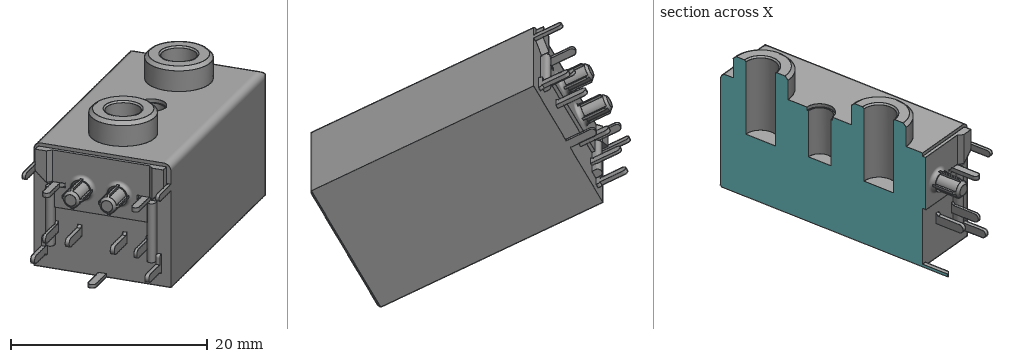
import cadquery as cq

SIDES = (1, -1)
EMBED = 0.3

WIDTH = 15.05
LENGTH = 25.78
HEIGHT = 13.7
WALL = 0.38
TOP_RADIUS = 0.8
BACK_CORNER_RADIUS = 0.38
BACK_FOOT_CHAMFER = 0.2

TOTAL_HEIGHT = 16.38
SOCKET_Y = (5.6, 20.62)
SOCKET_RADIUS = 3.5
SOCKET_CHAMFER = 0.38
BORE_RADIUS = 1.85
BORE_CHAMFER = 0.18
BORE_DEPTH = 8.85
SCREW_Y = (SOCKET_Y[0] + SOCKET_Y[1]) / 2
SCREW_RECESS_RADIUS = 1.6
SCREW_HOLE_RADIUS = 1.4
SCREW_HOLE_DEPTH = 5.9

INSERT_TOP = HEIGHT - WALL
PLATE_BOTTOM = 7.0
PLATE_DEPTH = 0.38
BLOCK_DEPTH = 0.85
BLOCK_INNER_X = 5.33
BLOCK_OUTER_X = 7.05
BLOCK_BOTTOM = 9.8
BLOCK_OUTER_BOTTOM = 10.93
BLOCK_BEVEL = BLOCK_DEPTH - PLATE_DEPTH

COLUMN_X = 5.57
COLUMN_RADIUS = 0.45
COLUMN_BOTTOM = 2.8
COLUMN_TOP = 9.35

STUD_X = 2.0
STUD_Z = 9.6
STUD_TIP = 3.68
STUD_CORE_RADIUS = 0.9
STUD_RIB_RADIUS = 1.15
STUD_RIB_WIDTH = 0.27
STUD_TIP_RADIUS = 0.62
COLLAR_RADIUS = 1.12
COLLAR_FLARE = 0.38
COLLAR_DEPTH = 0.95
COLLAR_DISH = 0.18

TAB_TIP = 3.18
TAB_HEIGHT = 0.75
TAB_Z = 11.1
GROUND_TAB_WIDTH = 0.88
PIN_TIP = 3.42
PIN_THICKNESS = 0.45
PIN_HEIGHT = 0.97
PIN_Z = 4.6
INNER_PIN_X = 2.47
OUTER_PIN_X = 5.0
OUTER_PIN_THICKNESS = 0.32
PIN_ROOT = 0.27
LOW_PIN_X = 6.27
LOW_PIN_HEIGHT = 0.88
LOW_PIN_Z = 2.1
LOW_PIN_ROOT_BOTTOM = 1.47
LOW_PIN_ROOT_TOP = 3.55
LOW_PIN_ROOT_DEPTH = 0.47
LOW_PIN_ROOT_RADIUS = 0.3
FLAT_PIN_X = 4.9
FLAT_PIN_WIDTH = 0.8
FLAT_PIN_ROOT = 0.47
SLOT_INNER_X = 3.95
SLOT_OUTER_X = 5.83


def box(x_range, y_range, z_range):
    """Box spanning the given (low, high) ranges."""
    (x0, x1), (y0, y1), (z0, z1) = x_range, y_range, z_range
    return cq.Workplane("XY").box(x1 - x0, y1 - y0, z1 - z0, centered=False).translate((x0, y0, z0))


def blade(center_x, center_z, thickness, height, tip):
    """Upright terminal with a fully rounded end, reaching forward to Y = -tip."""
    radius = height / 2
    return (
        cq.Workplane("YZ", origin=(center_x - thickness / 2, 0, center_z))
        .moveTo(EMBED, -radius)
        .lineTo(radius - tip, -radius)
        .threePointArc((-tip, 0), (radius - tip, radius))
        .lineTo(EMBED, radius)
        .close()
        .extrude(thickness)
    )


def flat_blade(center_x, center_z, thickness, width, tip):
    """Terminal lying flat: an upright blade turned about its own axis."""
    upright = blade(0, 0, thickness, width, tip)
    return upright.rotate((0, 0, 0), (0, 1, 0), 90).translate((center_x, 0, center_z))


def housing():
    """Box with rounded top edges and back corners, the rounds meeting in mitres."""
    blank = box((-WIDTH / 2, WIDTH / 2), (0, LENGTH), (0, HEIGHT))
    across = blank.edges("|Y and >Z").fillet(TOP_RADIUS)
    along = (
        blank.edges(">Y and >Z")
        .fillet(TOP_RADIUS)
        .edges(">Y and <Z")
        .chamfer(BACK_FOOT_CHAMFER)
    )
    plan = blank.edges("|Z and >Y").fillet(BACK_CORNER_RADIUS)
    return across.intersect(along).intersect(plan)


def socket(y):
    """Chamfered collar of a jack socket standing on the housing top."""
    return (
        cq.Workplane("XY", origin=(0, y, HEIGHT - EMBED))
        .circle(SOCKET_RADIUS)
        .extrude(TOTAL_HEIGHT - HEIGHT + EMBED)
        .faces(">Z")
        .chamfer(SOCKET_CHAMFER)
    )


def socket_bore(y):
    """Blind bore with a chamfered mouth."""
    mouth_radius = BORE_RADIUS + BORE_CHAMFER
    return (
        cq.Workplane("XZ", origin=(0, y, TOTAL_HEIGHT))
        .polyline(
            [
                (0, 0),
                (mouth_radius, 0),
                (BORE_RADIUS, -BORE_CHAMFER),
                (BORE_RADIUS, -BORE_DEPTH),
                (0, -BORE_DEPTH),
            ]
        )
        .close()
        .revolve(360, (0, 0), (0, 1))
    )


def screw_hole():
    """Blind hole below a wider opening through the housing wall."""
    top = cq.Workplane("XY", origin=(0, SCREW_Y, HEIGHT))
    recess = top.circle(SCREW_RECESS_RADIUS).extrude(-WALL)
    return recess.union(top.circle(SCREW_HOLE_RADIUS).extrude(-SCREW_HOLE_DEPTH))


def corner_block():
    """Insert block at the +X upper corner, bevelled towards the middle and cut off below."""
    outline = (
        cq.Workplane("XZ", origin=(0, EMBED, 0))
        .polyline(
            [
                (BLOCK_INNER_X, INSERT_TOP),
                (BLOCK_OUTER_X, INSERT_TOP),
                (BLOCK_OUTER_X, BLOCK_OUTER_BOTTOM),
                (BLOCK_INNER_X + BLOCK_BEVEL, BLOCK_BOTTOM),
                (BLOCK_INNER_X, BLOCK_BOTTOM),
            ]
        )
        .close()
        .extrude(BLOCK_DEPTH + EMBED)
    )
    return outline.edges("|Z and <X and <Y").chamfer(BLOCK_BEVEL)


def insert():
    """Raised plate between the two corner blocks."""
    plate = box((-COLUMN_X, COLUMN_X), (-PLATE_DEPTH, EMBED), (PLATE_BOTTOM, INSERT_TOP))
    block = corner_block()
    return plate.union(block).union(block.mirror("YZ"))


def pin_slot():
    """Slot through the insert plate, behind the flat pin at +X."""
    return box((SLOT_INNER_X, SLOT_OUTER_X), (-BLOCK_DEPTH, 0), (COLUMN_TOP, BLOCK_BOTTOM))


def column(x):
    """Upright rib with a half-round front."""
    return (
        cq.Workplane("XY", origin=(x, -COLUMN_RADIUS, COLUMN_BOTTOM))
        .moveTo(-COLUMN_RADIUS, COLUMN_RADIUS + EMBED)
        .lineTo(-COLUMN_RADIUS, 0)
        .threePointArc((0, -COLUMN_RADIUS), (COLUMN_RADIUS, 0))
        .lineTo(COLUMN_RADIUS, COLUMN_RADIUS + EMBED)
        .close()
        .extrude(COLUMN_TOP - COLUMN_BOTTOM)
    )


def stud(x):
    """Stud with a flared collar, four crush ribs and a tapered tip."""
    axis_plane = cq.Workplane("XY", origin=(x, 0, STUD_Z))
    flare_end = PLATE_DEPTH + COLLAR_FLARE
    flare_mid = COLLAR_FLARE * (1 - 0.5**0.5)
    collar = (
        axis_plane.moveTo(0, EMBED)
        .lineTo(COLLAR_RADIUS + COLLAR_FLARE, EMBED)
        .lineTo(COLLAR_RADIUS + COLLAR_FLARE, -PLATE_DEPTH)
        .threePointArc((COLLAR_RADIUS + flare_mid, -PLATE_DEPTH - flare_mid), (COLLAR_RADIUS, -flare_end))
        .lineTo(COLLAR_RADIUS, -COLLAR_DEPTH)
        .lineTo(STUD_CORE_RADIUS, COLLAR_DISH - COLLAR_DEPTH)
        .lineTo(0, COLLAR_DISH - COLLAR_DEPTH)
        .close()
        .revolve(360, (0, 0), (0, 1))
    )

    taper = STUD_RIB_RADIUS - STUD_TIP_RADIUS
    envelope = (
        axis_plane.polyline(
            [
                (0, 0),
                (STUD_RIB_RADIUS, 0),
                (STUD_RIB_RADIUS, taper - STUD_TIP),
                (STUD_TIP_RADIUS, -STUD_TIP),
                (0, -STUD_TIP),
            ]
        )
        .close()
        .revolve(360, (0, 0), (0, 1))
    )
    front = cq.Workplane("XZ", origin=(x, 0, STUD_Z))
    section = (
        front.circle(STUD_CORE_RADIUS)
        .extrude(STUD_TIP)
        .union(front.rect(2 * STUD_RIB_RADIUS, STUD_RIB_WIDTH).extrude(STUD_TIP))
        .union(front.rect(STUD_RIB_WIDTH, 2 * STUD_RIB_RADIUS).extrude(STUD_TIP))
    )
    return collar.union(section.intersect(envelope))


def signal_pin(x, thickness):
    """Upright pin with a sloping gusset above its root."""
    pin_top = PIN_Z + PIN_HEIGHT / 2
    gusset = (
        cq.Workplane("YZ", origin=(x - thickness / 2, 0, pin_top))
        .polyline(
            [
                (EMBED, -PIN_ROOT),
                (-PIN_ROOT, -PIN_ROOT),
                (-PIN_ROOT, 0),
                (0, PIN_ROOT),
                (EMBED, PIN_ROOT),
            ]
        )
        .close()
        .extrude(thickness)
    )
    return blade(x, PIN_Z, thickness, PIN_HEIGHT, PIN_TIP).union(gusset)


def low_pin(x):
    """Upright pin near the base with a tall root, rounded at its upper and lower front edges."""
    root = box(
        (x - PIN_THICKNESS / 2, x + PIN_THICKNESS / 2),
        (-LOW_PIN_ROOT_DEPTH, EMBED),
        (LOW_PIN_ROOT_BOTTOM, LOW_PIN_ROOT_TOP),
    )
    root = root.edges("|X and <Y").fillet(LOW_PIN_ROOT_RADIUS)
    return root.union(blade(x, LOW_PIN_Z, PIN_THICKNESS, LOW_PIN_HEIGHT, PIN_TIP))


def flat_pin(side):
    """Flat pin filling the slot height."""
    thickness = BLOCK_BOTTOM - COLUMN_TOP
    return flat_blade(side * FLAT_PIN_X, (BLOCK_BOTTOM + COLUMN_TOP) / 2, thickness, FLAT_PIN_WIDTH, PIN_TIP)


def flat_pin_root():
    """Tapered root that widens the flat pin at -X towards the body."""
    half_width = FLAT_PIN_WIDTH / 2
    wide = half_width + FLAT_PIN_ROOT
    return (
        cq.Workplane("XY", origin=(-FLAT_PIN_X, 0, COLUMN_TOP))
        .polyline(
            [
                (-wide, EMBED),
                (-wide, 0),
                (-half_width, -FLAT_PIN_ROOT),
                (half_width, -FLAT_PIN_ROOT),
                (wide, 0),
                (wide, EMBED),
            ]
        )
        .close()
        .extrude(BLOCK_BOTTOM - COLUMN_TOP)
    )


result = housing().union(insert())
for socket_y in SOCKET_Y:
    result = result.union(socket(socket_y)).cut(socket_bore(socket_y))
result = result.cut(screw_hole())
result = result.cut(pin_slot()).cut(pin_slot().mirror("YZ"))

for side in SIDES:
    result = result.union(column(side * COLUMN_X))
    result = result.union(stud(side * STUD_X))
    result = result.union(flat_pin(side))
    result = result.union(low_pin(side * LOW_PIN_X))
    result = result.union(blade(side * (WIDTH - WALL) / 2, TAB_Z, WALL, TAB_HEIGHT, TAB_TIP))
    result = result.union(signal_pin(side * INNER_PIN_X, PIN_THICKNESS))
    result = result.union(signal_pin(side * OUTER_PIN_X, OUTER_PIN_THICKNESS))

result = result.union(flat_pin_root())
result = result.union(flat_blade(0, WALL / 2, WALL, GROUND_TAB_WIDTH, TAB_TIP))